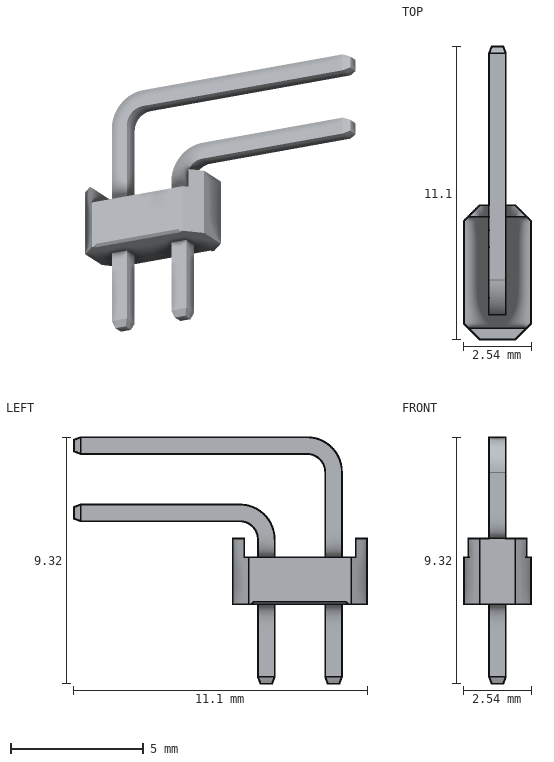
import cadquery as cq
import math


PITCH = 2.54

BODY_WIDTH = PITCH
BODY_LENGTH = 2 * PITCH
BODY_HEIGHT = 2.5
CORNER_CHAMFER = 0.6
END_WALL_THICKNESS = 0.44
TOP_RECESS_DEPTH = 0.71

RELIEF_SIZE = 0.1
RELIEF_ANGLE = 45
RELIEF_LENGTH = BODY_LENGTH - 2 * CORNER_CHAMFER - 2 * RELIEF_SIZE

PIN_SIZE = 0.64
BEND_RADIUS = 1.0
TAIL_LENGTH = 3.0
PIN_REACH = 6.0
TOP_PIN_HEIGHT = 3.82
TIP_LENGTH = 0.27
TIP_SIZE = 0.44

HALF_PITCH = PITCH / 2
PIN_END_Y = BODY_LENGTH / 2 + PIN_REACH
TOP_PIN_AXIS_Z = BODY_HEIGHT + TOP_PIN_HEIGHT - PIN_SIZE / 2


def make_edge_relief(side):
    """Frustum straddling the +X (side=1) or -X (side=-1) face, sloping its lower edge when cut."""
    overhang = 2 * RELIEF_SIZE
    inner_x = side * (BODY_WIDTH / 2 - RELIEF_SIZE)
    outer_x = side * (BODY_WIDTH / 2 + overhang)
    return (
        cq.Workplane("XY", origin=((inner_x + outer_x) / 2, 0, 0))
        .rect(RELIEF_SIZE + overhang, RELIEF_LENGTH)
        .extrude(RELIEF_SIZE, taper=RELIEF_ANGLE)
    )


def make_body():
    """Block with chamfered corners, an end wall at each Y end and relieved lower edges."""
    block = cq.Workplane("XY").box(BODY_WIDTH, BODY_LENGTH, BODY_HEIGHT, centered=(True, True, False))
    block = block.edges("|Z").chamfer(CORNER_CHAMFER)
    recess = (
        cq.Workplane("XY", origin=(0, 0, BODY_HEIGHT - TOP_RECESS_DEPTH))
        .box(BODY_WIDTH, BODY_LENGTH - 2 * END_WALL_THICKNESS, TOP_RECESS_DEPTH, centered=(True, True, False))
    )
    body = block.cut(recess)
    for side in (-1, 1):
        body = body.cut(make_edge_relief(side))
    return body


def make_tip(plane):
    """Pyramidal pin tip that narrows along the normal of the given plane."""
    base = cq.Workplane(plane).rect(PIN_SIZE, PIN_SIZE)
    return base.workplane(offset=TIP_LENGTH).rect(TIP_SIZE, TIP_SIZE).loft(ruled=True)


def make_pin(pin_y, axis_z):
    """Pin rising through the body at pin_y, then bent to run along +Y at height axis_z."""
    half = PIN_SIZE / 2
    inner_radius = BEND_RADIUS - half
    outer_radius = BEND_RADIUS + half
    center_y = pin_y + BEND_RADIUS
    center_z = axis_z - BEND_RADIUS
    tail_z = TIP_LENGTH - TAIL_LENGTH
    lead_y = PIN_END_Y - TIP_LENGTH
    diagonal = math.cos(math.pi / 4)

    def arc_middle(radius):
        return (center_y - radius * diagonal, center_z + radius * diagonal)

    shank = (
        cq.Workplane("YZ")
        .moveTo(pin_y - half, tail_z)
        .lineTo(pin_y - half, center_z)
        .threePointArc(arc_middle(outer_radius), (center_y, axis_z + half))
        .lineTo(lead_y, axis_z + half)
        .lineTo(lead_y, axis_z - half)
        .lineTo(center_y, axis_z - half)
        .threePointArc(arc_middle(inner_radius), (pin_y + half, center_z))
        .lineTo(pin_y + half, tail_z)
        .close()
        .extrude(half, both=True)
    )
    tail_tip = make_tip(cq.Plane(origin=(0, pin_y, tail_z), xDir=(1, 0, 0), normal=(0, 0, -1)))
    lead_tip = make_tip(cq.Plane(origin=(0, lead_y, axis_z), xDir=(1, 0, 0), normal=(0, 1, 0)))
    return shank.union(tail_tip).union(lead_tip)


upper_pin = make_pin(-HALF_PITCH, TOP_PIN_AXIS_Z)
lower_pin = make_pin(HALF_PITCH, TOP_PIN_AXIS_Z - PITCH)

result = make_body().union(upper_pin).union(lower_pin)